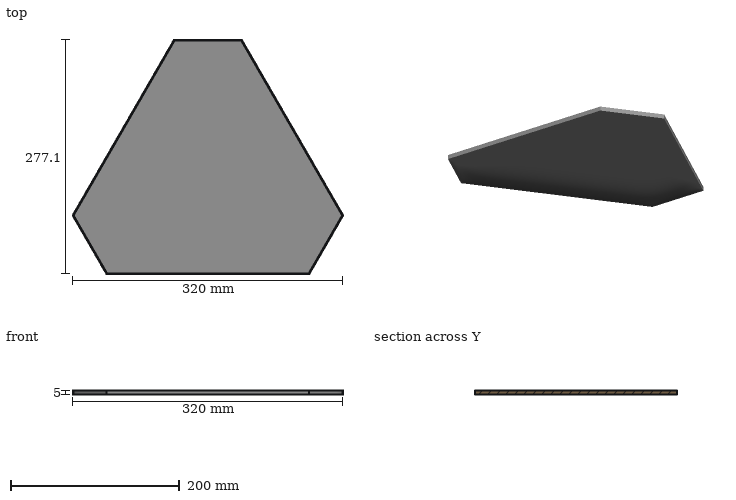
import cadquery as cq
import math

width = 320.0
short_side = 80.0
thickness = 5.0

long_side = width - short_side
slope = math.sqrt(3) / 2
depth = width * slope
front_y = -depth / 2
back_y = depth / 2
side_corner_y = front_y + short_side * slope

right_half = [
    (long_side / 2, front_y),
    (width / 2, side_corner_y),
    (short_side / 2, back_y),
]
left_half = [(-x, y) for x, y in reversed(right_half)]

result = cq.Workplane("XY").polyline(right_half + left_half).close().extrude(thickness)